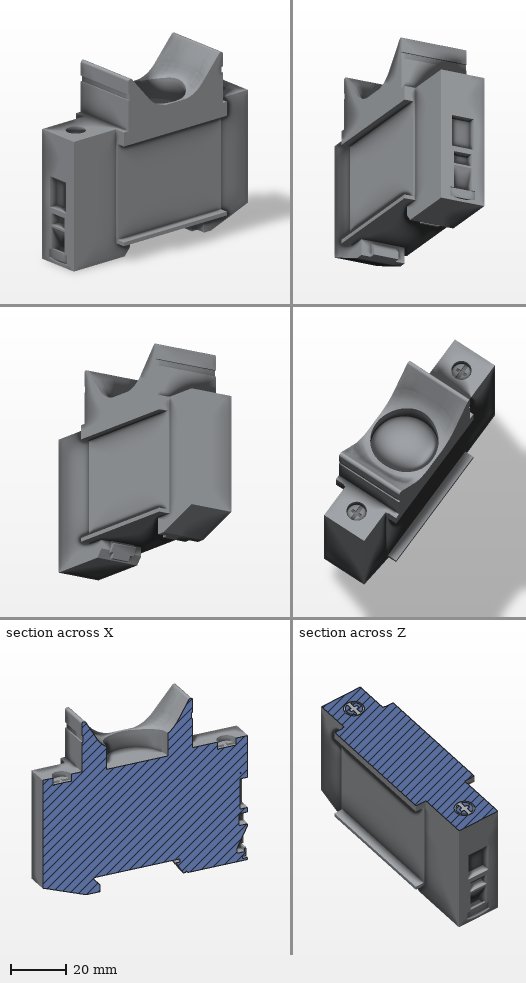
import cadquery as cq
import math


full_width = 26.6
body_width = 19.4
body_length = 49.5
rim_setback = 0.3
body_bottom = 6.2
block_top = 50.2
collar_bottom = 44.8
flange_top = 7.65

block_width = 17.7
front_end = -44.85
back_end = 38.35
back_slope_bottom = 20.7
back_slope_top = 6.5
back_rail_face = 17.4
front_rail_face = -18.05
front_slope_bottom = -20.55
front_slope_top = 2.9

cradle_length = 45.1
part_top = 70.2
lip_radius = 0.95
lip_slope = math.radians(49)
half_cradle = cradle_length / 2
lip_center_y = half_cradle - lip_radius
lip_center_z = part_top - lip_radius
lip_inner_y = lip_center_y - lip_radius * math.sin(lip_slope)
lip_inner_z = lip_center_z + lip_radius * math.cos(lip_slope)
groove_bottom = 62.0
groove_top = 64.3
groove_depth = 0.55

hollow_half = 4.9
hollow_floor = 56.05
strip_reach = 16.3
strip_height = 62.2
side_height = 60.3
well_diameter = 24.8
well_floor = 49.0

screw_positions = (-36.3, 30.4)
screw_hole_diameter = 7.4
screw_head_diameter = 6.5
screw_head_recess = 2.0
screw_gap_depth = 1.0
slot_width = 1.4
slot_depth = 0.8
cross_width = 1.2
cross_top_length = 4.6
cross_bottom_length = 2.9

window_width = 8.9
window_bottom = 21.2
window_top = 33.2
window_depth = 3.2
port_width = 7.2
port_bottom = 14.6
port_top = 19.2
port_depth = 3.6
funnel_bottom = 5.1
funnel_back_top = 7.0
funnel_top = 13.8
funnel_ceiling_depth = 3.6
funnel_depth = 4.4
pit_floor = 3.6

latch_width = 10.0
tab_bottom = 1.7
tab_top = 5.1
tab_recess = 0.6
tab_thickness = 0.8
tab_gap_sag = 0.7
tab_gap_depth = 2.0
latch_neck = -17.2
latch_tip = -15.75
latch_tip_low = 4.8
latch_tip_high = 5.1
latch_foot_front = -19.7
latch_foot_back = -18.7
latch_foot_bottom = 0.2
latch_root = -20.2
tongue_width = 7.2
tongue_top = 2.0
hook_end = 14.9
hook_low = 2.8
hook_high = 5.45


def box(width, y_start, y_end, z_bottom, z_top):
    """Box centred on X between the given Y and Z limits."""
    return cq.Workplane("XY").box(width, y_end - y_start, z_top - z_bottom).translate(
        (0, (y_start + y_end) / 2, (z_bottom + z_top) / 2)
    )


def prism(points, width):
    """Closed outline of (Y, Z) points extruded symmetrically about X = 0."""
    return cq.Workplane("YZ").polyline(points).close().extrude(width / 2, both=True)


def make_blocks():
    half = body_length / 2
    body = box(body_width, -half, half, body_bottom, block_top)
    collar = box(full_width, -half, half - rim_setback, collar_bottom, block_top)
    flange = box(full_width, -half, half - rim_setback, body_bottom, flange_top)
    terminal_profile = [
        (front_end, 0),
        (front_slope_bottom, 0),
        (front_rail_face, front_slope_top),
        (front_rail_face, body_bottom),
        (back_rail_face, body_bottom),
        (back_rail_face, 0),
        (back_slope_bottom, 0),
        (back_end, back_slope_top),
        (back_end, block_top),
        (front_end, block_top),
    ]
    terminals = prism(terminal_profile, block_width)
    return body.union(collar).union(flange).union(terminals)


def make_cradle():
    profile = (
        cq.Workplane("YZ")
        .moveTo(-half_cradle, collar_bottom)
        .lineTo(half_cradle, collar_bottom)
        .lineTo(half_cradle, lip_center_z)
        .threePointArc((lip_center_y, part_top), (lip_inner_y, lip_inner_z))
        .lineTo(-lip_inner_y, lip_inner_z)
        .threePointArc((-lip_center_y, part_top), (-half_cradle, lip_center_z))
        .close()
    )
    cradle = profile.extrude(full_width / 2, both=True)
    for y_face in (-half_cradle, half_cradle):
        cradle = cradle.cut(
            box(full_width, y_face - groove_depth, y_face + groove_depth, groove_bottom, groove_top)
        )
    return cradle


def curve_start(x):
    """Y and Z where the straight slope of the hollow turns into its curve, at the given X."""
    corner_radius = strip_reach - hollow_half
    side_offset = full_width / 2 - hollow_half
    drop = corner_radius - math.sqrt(corner_radius**2 - (x - hollow_half) ** 2)
    side_drop = corner_radius - math.sqrt(corner_radius**2 - side_offset**2)
    height = strip_height - (strip_height - side_height) * drop / side_drop
    return strip_reach - drop, height


def hollow_section(x):
    """Closed outline of the hollow in the YZ plane at the given X."""
    start_y, start_z = curve_start(x)
    slope = cq.Vector(0, start_y - lip_inner_y, start_z - lip_inner_z)
    lip = [cq.Vector(x, side * lip_inner_y, lip_inner_z) for side in (-1, 1)]
    bend = [cq.Vector(x, side * start_y, start_z) for side in (-1, 1)]
    floor = [cq.Vector(x, side * hollow_half, hollow_floor) for side in (-1, 1)]
    arcs = [
        cq.Edge.makeTangentArc(bend[0], cq.Vector(0, -slope.y, slope.z), floor[0]),
        cq.Edge.makeTangentArc(bend[1], slope, floor[1]),
    ]
    return cq.Wire.assembleEdges([
        cq.Edge.makeLine(lip[0], bend[0]),
        arcs[0],
        cq.Edge.makeLine(floor[0], floor[1]),
        arcs[1],
        cq.Edge.makeLine(bend[1], lip[1]),
        cq.Edge.makeLine(lip[1], lip[0]),
    ])


def make_hollow():
    strip = cq.Solid.extrudeLinear(
        hollow_section(hollow_half), [], cq.Vector(-2 * hollow_half, 0, 0)
    )
    side_steps = 3
    step = (full_width / 2 - hollow_half) / side_steps
    sections = [hollow_section(hollow_half + i * step) for i in range(side_steps + 1)]
    side = cq.Workplane(cq.Solid.makeLoft(sections))
    well = cq.Workplane("XY", origin=(0, 0, well_floor)).circle(well_diameter / 2).extrude(
        lip_inner_z - well_floor
    )
    return cq.Workplane(strip).union(side).union(side.mirror("YZ")).union(well)


def make_screw_recess(y):
    head_top = block_top - screw_head_recess
    top_plane = cq.Workplane("XY", origin=(0, y, block_top))
    head_plane = cq.Workplane("XY", origin=(0, y, head_top))
    recess = top_plane.circle(screw_hole_diameter / 2).extrude(-screw_head_recess)
    gap = (
        head_plane.circle(screw_hole_diameter / 2).circle(screw_head_diameter / 2)
        .extrude(-screw_gap_depth)
    )
    half_head = screw_head_diameter / 2
    slot = box(slot_width, y - half_head, y + half_head, head_top - slot_depth, head_top)
    cross = (
        cq.Workplane("XZ", origin=(0, y + cross_width / 2, 0))
        .polyline([
            (-cross_top_length / 2, head_top),
            (cross_top_length / 2, head_top),
            (cross_bottom_length / 2, head_top - slot_depth),
            (-cross_bottom_length / 2, head_top - slot_depth),
        ]).close().extrude(cross_width)
    )
    return recess.union(gap).union(slot).union(cross)


def make_front_openings():
    window = box(window_width, front_end, front_end + window_depth, window_bottom, window_top)
    port = box(port_width, front_end, front_end + port_depth, port_bottom, port_top)
    tab_face = front_end + tab_recess
    funnel_back = front_end + funnel_depth
    funnel_profile = [
        (front_end, funnel_bottom),
        (funnel_back, funnel_bottom),
        (front_end + funnel_ceiling_depth, funnel_back_top),
        (front_end, funnel_top),
    ]
    funnel = prism(funnel_profile, port_width)
    pit = box(port_width, tab_face + tab_thickness, funnel_back, pit_floor, funnel_bottom)
    tab_front = box(latch_width, front_end, tab_face, tab_bottom, tab_top)
    tab_gap = (
        cq.Workplane("XZ", origin=(0, front_end, 0))
        .moveTo(-latch_width / 2, tab_bottom)
        .threePointArc((0, tab_bottom - tab_gap_sag), (latch_width / 2, tab_bottom))
        .close().extrude(-tab_gap_depth)
    )
    return window.union(port).union(funnel).union(pit).union(tab_front).union(tab_gap)


def make_latch():
    """Sprung latch that grips the rail from the front block."""
    profile = [
        (latch_neck, body_bottom),
        (latch_neck, latch_tip_high),
        (latch_tip, latch_tip_high),
        (latch_tip, latch_tip_low),
        (latch_foot_back, latch_foot_bottom),
        (latch_foot_front, latch_foot_bottom),
        (latch_root, tongue_top),
        (latch_root, body_bottom),
    ]
    tongue = prism(profile, tongue_width)
    upper_part = box(latch_width, latch_root, latch_tip, tongue_top, body_bottom)
    return tongue.union(prism(profile, latch_width).intersect(upper_part))


def make_hook():
    """Fixed hook that grips the rail from the back block."""
    profile = [
        (back_slope_bottom, 0),
        (hook_end, 0),
        (hook_end, hook_low),
        (back_rail_face, hook_high),
        (back_slope_bottom, hook_high),
    ]
    return prism(profile, latch_width)


result = make_blocks().union(make_cradle()).cut(make_hollow())
for screw_y in screw_positions:
    result = result.cut(make_screw_recess(screw_y))
result = result.cut(make_front_openings()).union(make_latch()).union(make_hook())